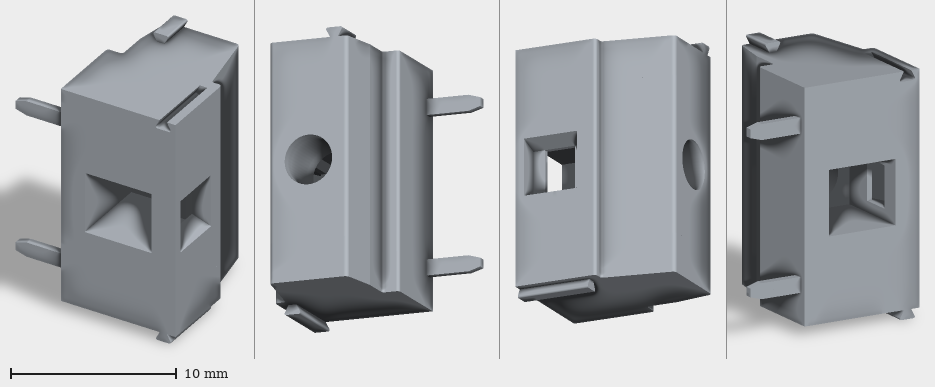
import cadquery as cq
import math


BLOCK_WIDTH = 8.1
BLOCK_DEPTH = 10.0
SHOULDER_Y = 5.41
NECK_LEFT = 1.09
NECK_BEND_Y = 7.44
NECK_RIGHT = 7.39
CROWN_LEFT = 1.52
CROWN_RIGHT = 6.56
CROWN_RADIUS = 0.28
SHOULDER_RADIUS = 0.21
NECK_RADIUS = 0.18

OVERALL_HEIGHT = 16.2
PIN_PITCH = 10.0
END_HEIGHT = PIN_PITCH / 4
LOWER_JOINT = END_HEIGHT
UPPER_JOINT = LOWER_JOINT + PIN_PITCH
BLOCK_HEIGHT = UPPER_JOINT + END_HEIGHT
MID_HEIGHT = BLOCK_HEIGHT / 2

PIN_LENGTH = 3.5
PIN_THICKNESS = 0.5
PIN_FRONT = 0.5
PIN_HALF_WIDTH = 0.5
PIN_TIP_HALF_WIDTH = 0.28
PIN_TAPER = 0.78

DOVETAIL_ANGLE = 28.0
DOVETAIL_NECK = 0.52
DOVETAIL_RADIUS = 0.1
TONGUE_HEIGHT = (OVERALL_HEIGHT - BLOCK_HEIGHT) / 2
GROOVE_DEPTH = 0.63
FRONT_DOVETAIL_X = 7.24
FRONT_DOVETAIL_LENGTH = 4.7
BACK_TONGUE_X = 2.38
BACK_TONGUE_LENGTH = 2.3

POCKET_WIDTH = 4.7
POCKET_HEIGHT = 4.18
POCKET_DEPTH = SHOULDER_Y
BORE_DIAMETER = 3.1

OPENING_Y = 2.35
OPENING_WIDTH = 2.04
OPENING_HEIGHT = 2.72
THROAT_LENGTH = 0.35
FUNNEL_WIDTH = 3.56
FUNNEL_ANGLE = 18.4


def block_slab(bottom, top):
    """The block outline with rounded corners, between two heights."""
    outline = [
        (0, 0),
        (BLOCK_WIDTH, 0),
        (BLOCK_WIDTH, SHOULDER_Y),
        (NECK_RIGHT, SHOULDER_Y),
        (CROWN_RIGHT, BLOCK_DEPTH),
        (CROWN_LEFT, BLOCK_DEPTH),
        (NECK_LEFT, NECK_BEND_Y),
        (NECK_LEFT, SHOULDER_Y),
        (0, SHOULDER_Y),
    ]
    slab = cq.Workplane("XY").workplane(offset=bottom).polyline(outline).close().extrude(top - bottom)

    def round_corners(body, corners, radius):
        for x, y in corners:
            nearest = cq.selectors.NearestToPointSelector((x, y, (bottom + top) / 2))
            body = body.edges("|Z").edges(nearest).fillet(radius)
        return body

    slab = round_corners(slab, [(CROWN_LEFT, BLOCK_DEPTH), (CROWN_RIGHT, BLOCK_DEPTH)], CROWN_RADIUS)
    slab = round_corners(slab, [(0, SHOULDER_Y), (BLOCK_WIDTH, SHOULDER_Y)], SHOULDER_RADIUS)
    return round_corners(slab, [(NECK_LEFT, SHOULDER_Y), (NECK_RIGHT, SHOULDER_Y)], NECK_RADIUS)


def half_pin(joint, side):
    """Half of a tapered flat pin, above (side = 1) or below (side = -1) a joint plane."""
    outline = [
        (0, joint),
        (0, joint + side * PIN_HALF_WIDTH),
        (PIN_TAPER - PIN_LENGTH, joint + side * PIN_HALF_WIDTH),
        (-PIN_LENGTH, joint + side * PIN_TIP_HALF_WIDTH),
        (-PIN_LENGTH, joint),
    ]
    pin_plane = cq.Workplane("XZ", origin=(0, PIN_FRONT, 0))
    return pin_plane.polyline(outline).close().extrude(-PIN_THICKNESS)


def dovetail(center_x, front, length, root_z, height):
    """A dovetail bar along Y that widens from root_z; a negative height makes it point down."""
    neck = DOVETAIL_NECK / 2
    crest = neck + abs(height) * math.tan(math.radians(DOVETAIL_ANGLE))
    crest_z = root_z + height
    outline = [
        (center_x - neck, root_z),
        (center_x + neck, root_z),
        (center_x + crest, crest_z),
        (center_x - crest, crest_z),
    ]
    bar = cq.Workplane("XZ", origin=(0, front, 0)).polyline(outline).close().extrude(-length)
    crest_side = ">Z" if height > 0 else "<Z"
    return bar.faces(crest_side).edges("|Y").fillet(DOVETAIL_RADIUS)


def front_pocket():
    """The rectangular pocket and the round bore behind it."""
    front = cq.Workplane("XZ", origin=(BLOCK_WIDTH / 2, 0, MID_HEIGHT))
    pocket = front.rect(POCKET_WIDTH, POCKET_HEIGHT).extrude(-POCKET_DEPTH)
    bore = front.circle(BORE_DIAMETER / 2).extrude(-BLOCK_DEPTH)
    return pocket.union(bore)


def side_opening():
    """The rectangular throat beside the pocket and the wider funnel outside it."""
    pocket_wall = (BLOCK_WIDTH + POCKET_WIDTH) / 2
    funnel_start = pocket_wall + THROAT_LENGTH
    funnel_length = BLOCK_WIDTH - funnel_start
    half_height = OPENING_HEIGHT / 2
    mouth_half_height = half_height + funnel_length * math.tan(math.radians(FUNNEL_ANGLE))

    throat = (
        cq.Workplane("YZ", origin=(pocket_wall, OPENING_Y, MID_HEIGHT))
        .rect(OPENING_WIDTH, OPENING_HEIGHT)
        .extrude(THROAT_LENGTH)
    )
    funnel_outline = [
        (funnel_start, MID_HEIGHT - half_height),
        (BLOCK_WIDTH, MID_HEIGHT - mouth_half_height),
        (BLOCK_WIDTH, MID_HEIGHT + mouth_half_height),
        (funnel_start, MID_HEIGHT + half_height),
    ]
    funnel = (
        cq.Workplane("XZ", origin=(0, OPENING_Y, 0))
        .polyline(funnel_outline)
        .close()
        .extrude(FUNNEL_WIDTH / 2, both=True)
    )
    return throat.union(funnel)


def lower_end():
    """Bottom segment with the front tongue under it."""
    tongue = dovetail(FRONT_DOVETAIL_X, 0, FRONT_DOVETAIL_LENGTH, 0, -TONGUE_HEIGHT)
    return block_slab(0, LOWER_JOINT).union(half_pin(LOWER_JOINT, -1)).union(tongue)


def middle():
    """Middle segment with the pocket and the side opening."""
    body = block_slab(LOWER_JOINT, UPPER_JOINT).cut(front_pocket()).cut(side_opening())
    return body.union(half_pin(LOWER_JOINT, 1)).union(half_pin(UPPER_JOINT, -1))


def upper_end():
    """Top segment with the front groove and the back tongue."""
    groove = dovetail(FRONT_DOVETAIL_X, 0, FRONT_DOVETAIL_LENGTH, BLOCK_HEIGHT, -GROOVE_DEPTH)
    back_start = BLOCK_DEPTH - BACK_TONGUE_LENGTH
    tongue = dovetail(BACK_TONGUE_X, back_start, BACK_TONGUE_LENGTH, BLOCK_HEIGHT, TONGUE_HEIGHT)
    body = block_slab(UPPER_JOINT, BLOCK_HEIGHT).cut(groove)
    return body.union(half_pin(UPPER_JOINT, 1)).union(tongue)


lower_segment = lower_end()
middle_segment = middle()
upper_segment = upper_end()

result = cq.Compound.makeCompound([lower_segment.val(), middle_segment.val(), upper_segment.val()])